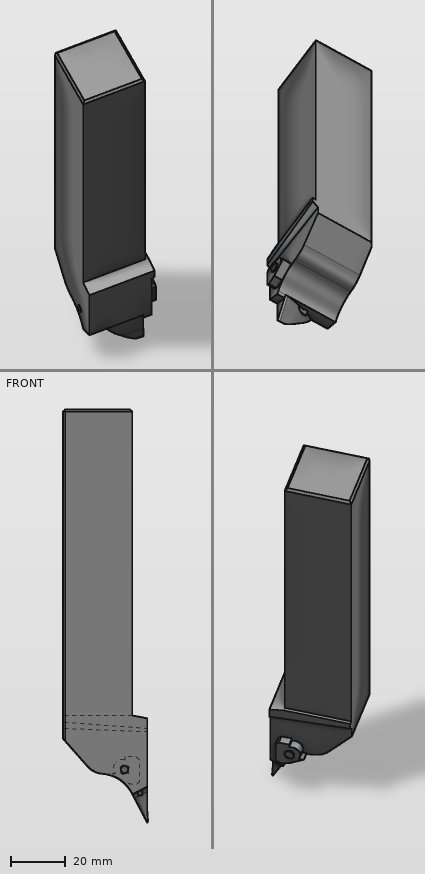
import cadquery as cq
import math

total_height = 151.8
shank_width = 25.5
shank_depth = 25.0
shank_chamfer = 0.9
head_width = 31.0
head_depth = 26.4

ridge_top = 39.5
overhang_top = 38.4
ramp_start = 31.0
ramp_end_x, ramp_end_z = 9.0, 20.8
heel_mid_x, heel_mid_z = 11.2, 19.0
heel_end_x, heel_end_z = 15.2, 17.9
throat_mid_x, throat_mid_z = 20.7, 16.0
throat_end_x, throat_end_z = 25.5, 10.5

tip_x = head_width
tip_bulge = 0.3
tip_bulge_height = 0.8
tip_bulge_top = 5.3
rake_y = 21.9
land_width = 0.9
relief_mid_y, relief_mid_z = 14.7, 4.0
relief_end_y, relief_end_z = 6.8, 13.7
lip_length = 1.5
tip_overrun = 1.5
blade_run = 22.8

seat_y = 24.1
seat_top = 34.8
seat_rise = 1.0
seat_clearance = 6.0
seat_drop = 1.2

clamp_back = 28.4
clamp_left, clamp_right = 17.2, 28.0
clamp_bottom, clamp_top = 14.0, 24.5
clamp_waist_z = 18.2
clamp_heel_start_x = 19.1
clamp_heel_mid_x, clamp_heel_mid_z = 18.5, 20.7
clamp_step_x, clamp_step_z = 22.8, 23.2
clamp_foot_x, clamp_foot_z = 23.1, 14.7
clamp_corner = 1.2
screw_x, screw_z = 22.6, 19.6
screw_radius = 1.8
screw_back = 28.8
screw_front = 1.5
front_hole_radius = 1.4
pin_x, pin_z = 28.4, 11.0
pin_radius = 0.9
pin_front, pin_back = 11.0, 18.2

flank_angle = math.atan2(tip_x - throat_end_x, throat_end_z)
flank = cq.Vector(-math.sin(flank_angle), 0, math.cos(flank_angle))
root_rise = (head_width - throat_end_x) * math.tan(flank_angle)
root_right_z = throat_end_z + root_rise


def prism(outline, y_front, y_back):
    """Extrude an XZ outline from y_front back to y_back."""
    return outline.extrude(y_front - y_back).translate((0, y_front, 0))


def rod(x, z, radius, y_front, y_back):
    """Cylinder along Y."""
    return prism(cq.Workplane("XZ").center(x, z).circle(radius), y_front, y_back)


def make_seat_space():
    """Space behind the sloping seat, bounded above by the 45 degree underside of the ridge."""
    profile = cq.Wire.makePolygon(
        [
            cq.Vector(0, seat_y, 0),
            cq.Vector(0, seat_y, seat_top),
            cq.Vector(0, seat_y + seat_clearance, seat_top + seat_clearance),
            cq.Vector(0, seat_y + seat_clearance, 0),
        ],
        close=True,
    )
    slope = cq.Vector(head_width, seat_rise, -seat_drop)
    return cq.Workplane(cq.Solid.extrudeLinear(profile, [], slope))


def make_shank():
    shank = cq.Workplane("XY").box(
        shank_width, shank_depth, total_height - ramp_start, centered=False
    ).translate((0, 0, ramp_start))
    return shank.faces(">Z").edges().chamfer(shank_chamfer)


def make_head():
    lip_x = throat_end_x - lip_length * flank.x
    lip_z = throat_end_z - lip_length * flank.z
    outline = (
        cq.Workplane("XZ")
        .moveTo(0, ridge_top)
        .lineTo(0, ramp_start)
        .lineTo(ramp_end_x, ramp_end_z)
        .threePointArc((heel_mid_x, heel_mid_z), (heel_end_x, heel_end_z))
        .threePointArc((throat_mid_x, throat_mid_z), (throat_end_x, throat_end_z))
        .lineTo(lip_x, lip_z)
        .lineTo(head_width, lip_z + (head_width - lip_x) * math.tan(flank_angle))
        .lineTo(head_width, overhang_top)
        .lineTo(shank_width, ridge_top)
        .close()
    )
    return prism(outline, 0, head_depth)


def make_blade_bay():
    """Space below the blade root, in front of the rear lip."""
    outline = cq.Workplane("XZ").polyline(
        [
            (throat_end_x, throat_end_z),
            (head_width, root_right_z),
            (head_width, 0),
            (throat_end_x, 0),
        ]
    ).close()
    return prism(outline, 0, rake_y)


def make_corner_bevel():
    """Waste along the long front corner at X = 0."""
    return (
        cq.Workplane("XY")
        .polyline([(0, 0), (shank_chamfer, 0), (0, shank_chamfer)])
        .close()
        .extrude(total_height)
    )


def make_holder():
    return (
        make_shank()
        .union(make_head())
        .cut(make_corner_bevel())
        .cut(make_blade_bay())
        .cut(make_seat_space())
        .cut(rod(screw_x, screw_z, screw_radius, screw_front, head_depth))
        .cut(rod(screw_x, screw_z, front_hole_radius, 0, screw_front))
    )


def make_blade():
    """Relieved profile swept along the flank, trimmed to the pointed front outline."""
    profile = (
        cq.Workplane("YZ", origin=(tip_x, 0, 0))
        .moveTo(rake_y, 0)
        .lineTo(rake_y - land_width, 0)
        .threePointArc((relief_mid_y, relief_mid_z), (relief_end_y, relief_end_z))
        .lineTo(rake_y, relief_end_z)
        .close()
        .wire()
        .val()
        .translate(flank * -tip_overrun)
    )
    swept = cq.Workplane(cq.Solid.extrudeLinear(profile, [], flank * blade_run))
    outline = cq.Workplane("XZ").polyline(
        [
            (tip_x, 0),
            (tip_x + tip_bulge, tip_bulge_height),
            (head_width, tip_bulge_top),
            (head_width, root_right_z),
            (throat_end_x, throat_end_z),
        ]
    ).close()
    pin_hole = rod(pin_x, pin_z, pin_radius, pin_front, pin_back)
    return swept.intersect(prism(outline, 0, rake_y)).cut(pin_hole)


def make_clamp():
    """Plate with a rounded, stepped heel standing on the sloping seat."""
    outline = (
        cq.Workplane("XZ")
        .moveTo(clamp_left, clamp_waist_z)
        .lineTo(clamp_heel_start_x, clamp_waist_z)
        .threePointArc((clamp_heel_mid_x, clamp_heel_mid_z), (clamp_step_x, clamp_step_z))
        .lineTo(clamp_step_x, clamp_top)
        .lineTo(clamp_right - clamp_corner, clamp_top)
        .lineTo(clamp_right, clamp_top - clamp_corner)
        .lineTo(clamp_right, clamp_bottom + clamp_corner)
        .lineTo(clamp_right - clamp_corner, clamp_bottom)
        .lineTo(clamp_foot_x, clamp_foot_z)
        .close()
    )
    screw_hole = rod(screw_x, screw_z, screw_radius, seat_y, screw_back)
    return prism(outline, seat_y, clamp_back).intersect(make_seat_space()).cut(screw_hole)


def make_screw():
    return rod(screw_x, screw_z, screw_radius, screw_front, screw_back)


def make_pin():
    return rod(pin_x, pin_z, pin_radius, pin_front, pin_back)


holder = make_holder()
blade = make_blade()
clamp = make_clamp()
screw = make_screw()
pin = make_pin()

result = cq.Compound.makeCompound([body.solids().val() for body in (holder, blade, clamp, screw, pin)])